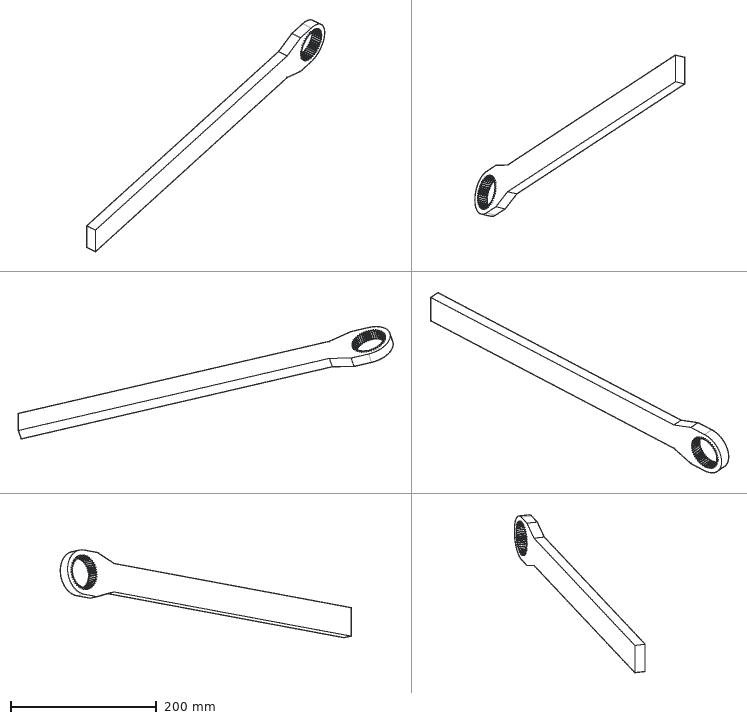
import cadquery as cq
import math

thickness = 15.0
head_radius = 31.0
shank_width = 40.0
reach = 500.0
shoulder_start = 25.0
shoulder_end = 56.0

tooth_count = 44
root_radius = 24.0
tip_radius = 21.0
root_flat = 0.48
tip_flat = 0.4
tip_chamfer = 1.0

half_thickness = thickness / 2


def wrench_blank():
    """Flat bar with a round-ended head that tapers down to the shank."""
    half_shank = shank_width / 2
    return (
        cq.Workplane("YZ")
        .moveTo(0, head_radius)
        .threePointArc((head_radius, 0), (0, -head_radius))
        .lineTo(-shoulder_start, -head_radius)
        .lineTo(-shoulder_end, -half_shank)
        .lineTo(-reach, -half_shank)
        .lineTo(-reach, half_shank)
        .lineTo(-shoulder_end, half_shank)
        .lineTo(-shoulder_start, head_radius)
        .close()
        .extrude(half_thickness, both=True)
    )


def polar_point(radius, angle):
    return (radius * math.cos(angle), radius * math.sin(angle))


def serrated_bore():
    """Through cutter whose outline has one flat-bottomed V groove per tooth."""
    pitch = 2 * math.pi / tooth_count
    root_half_angle = root_flat / root_radius / 2
    tip_half_angle = tip_flat / tip_radius / 2
    outline = []
    for i in range(tooth_count):
        groove = i * pitch
        crest = groove + pitch / 2
        outline.append(polar_point(root_radius, groove - root_half_angle))
        outline.append(polar_point(root_radius, groove + root_half_angle))
        outline.append(polar_point(tip_radius, crest - tip_half_angle))
        outline.append(polar_point(tip_radius, crest + tip_half_angle))
    return cq.Workplane("YZ").polyline(outline).close().extrude(half_thickness, both=True)


def bore_chamfer(side):
    """45 degree cone that bevels the tooth ends at the +X (1) or -X (-1) face."""
    mouth_radius = tip_radius + tip_chamfer
    cone = cq.Solid.makeCone(
        mouth_radius,
        0,
        mouth_radius,
        cq.Vector(side * half_thickness, 0, 0),
        cq.Vector(-side, 0, 0),
    )
    return cq.Workplane(cone)


result = wrench_blank().cut(serrated_bore())
for face_side in (-1, 1):
    result = result.cut(bore_chamfer(face_side))